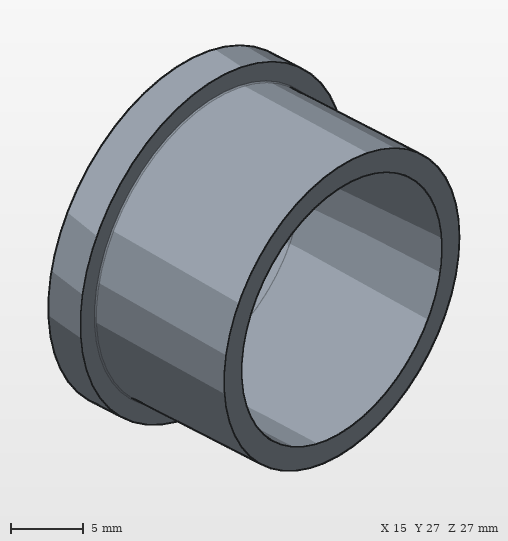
import cadquery as cq

length = 15.0
flange_diameter = 27.0
flange_thickness = 3.0
barrel_diameter = 24.0
bore_diameter = 20.4
mouth_radius = 2.0
root_radius = 0.1

flange = cq.Workplane("YZ").circle(flange_diameter / 2).extrude(flange_thickness)
barrel = cq.Workplane("YZ").circle(barrel_diameter / 2).extrude(length)

bore = cq.Workplane("YZ").circle(bore_diameter / 2).extrude(length)
bushing = flange.union(barrel).cut(bore)

bore_mouth = bushing.faces("<X").edges(cq.selectors.RadiusNthSelector(0))
bushing = bore_mouth.fillet(mouth_radius)

flange_back = bushing.faces(cq.selectors.NearestToPointSelector((flange_thickness, 0, 0)))
root_edge = flange_back.edges(cq.selectors.RadiusNthSelector(0))
result = root_edge.fillet(root_radius)